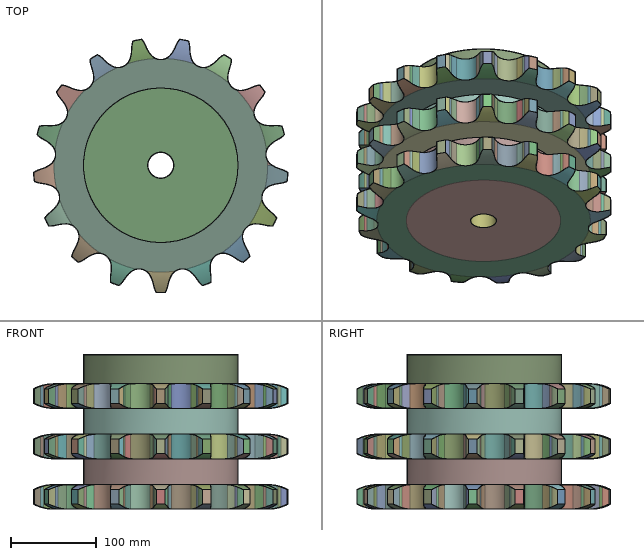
import cadquery as cq
import math


OVERALL_LENGTH = 296.5
OVERALL_HEIGHT = 180.0
HUB_DIAMETER = 180.0
BORE_DIAMETER = 30.0

TOOTH_COUNT = 17
DISC_COUNT = 3
DISC_SPACING = 58.7
DISC_THICKNESS = 28.8
FACE_RADIUS = 124.5
TIP_RELIEF = 6.0

CHAIN_PITCH = 50.7
ROLLER_DIAMETER = 29.3

TOOTH_ANGLE = 360 / TOOTH_COUNT
PITCH_RADIUS = CHAIN_PITCH / 2 / math.sin(math.pi / TOOTH_COUNT)
SEAT_RADIUS = 1.005 * ROLLER_DIAMETER / 2
SEAT_HALF_ANGLE = 55 - 60 / TOOTH_COUNT
WORKING_SWEEP = 18 - 56 / TOOTH_COUNT
WORKING_CENTER_OFFSET = 0.8 * ROLLER_DIAMETER
WORKING_RADIUS = SEAT_RADIUS + WORKING_CENTER_OFFSET
TOPPING_CENTER_OFFSET = 1.4 * ROLLER_DIAMETER
TOPPING_TILT = 17 - 64 / TOOTH_COUNT
STRAIGHT_LENGTH = (
    TOPPING_CENTER_OFFSET * math.sin(math.radians(TOPPING_TILT))
    - WORKING_CENTER_OFFSET * math.sin(math.radians(WORKING_SWEEP))
)
TOPPING_RADIUS = (
    TOPPING_CENTER_OFFSET * math.cos(math.radians(TOPPING_TILT))
    + WORKING_CENTER_OFFSET * math.cos(math.radians(WORKING_SWEEP))
    - WORKING_RADIUS
)
TOPPING_SWEEP = 32.0


def offset(point, distance, angle):
    """Point reached from another one by a distance along a direction in degrees."""
    return (
        point[0] + distance * math.cos(math.radians(angle)),
        point[1] + distance * math.sin(math.radians(angle)),
    )


def mirrored(point):
    return (point[0], -point[1])


SEAT_END_ANGLE = 180 - SEAT_HALF_ANGLE
FLANK_ANGLE = SEAT_END_ANGLE - WORKING_SWEEP

seat_center = (PITCH_RADIUS, 0)
root = offset(seat_center, SEAT_RADIUS, 180)
seat_middle = offset(seat_center, SEAT_RADIUS, 180 - SEAT_HALF_ANGLE / 2)
seat_end = offset(seat_center, SEAT_RADIUS, SEAT_END_ANGLE)

working_center = offset(seat_center, -WORKING_CENTER_OFFSET, SEAT_END_ANGLE)
working_middle = offset(working_center, WORKING_RADIUS, SEAT_END_ANGLE - WORKING_SWEEP / 2)
working_end = offset(working_center, WORKING_RADIUS, FLANK_ANGLE)

straight_end = offset(working_end, STRAIGHT_LENGTH, FLANK_ANGLE - 90)

topping_center = offset(straight_end, TOPPING_RADIUS, FLANK_ANGLE)
topping_middle = offset(topping_center, -TOPPING_RADIUS, FLANK_ANGLE + TOPPING_SWEEP / 2)
topping_end = offset(topping_center, -TOPPING_RADIUS, FLANK_ANGLE + TOPPING_SWEEP)


def find_tip_radius():
    """Tip radius that puts the tooth corners furthest along X at half the overall length.

    With one gap on +Y, the gap whose flank ends there is a quarter tooth step off the X axis.
    """
    center_angle = math.degrees(math.atan2(topping_center[1], topping_center[0])) - TOOTH_ANGLE / 4
    center_x, center_y = offset((0, 0), math.hypot(*topping_center), center_angle)
    corner_x = OVERALL_LENGTH / 2
    corner_y = center_y - math.sqrt(TOPPING_RADIUS**2 - (corner_x - center_x) ** 2)
    return math.hypot(corner_x, corner_y)


TIP_RADIUS = find_tip_radius()


def make_blank():
    """Disc with both rims relieved by arcs that leave the flat faces tangentially."""
    rim_width = TIP_RADIUS - FACE_RADIUS
    relief_radius = (rim_width**2 + TIP_RELIEF**2) / (2 * TIP_RELIEF)
    half_sweep = math.asin(rim_width / relief_radius) / 2
    middle_radius = FACE_RADIUS + relief_radius * math.sin(half_sweep)
    middle_drop = relief_radius * (1 - math.cos(half_sweep))
    return (
        cq.Workplane("XZ")
        .lineTo(FACE_RADIUS, 0)
        .threePointArc((middle_radius, middle_drop), (TIP_RADIUS, TIP_RELIEF))
        .lineTo(TIP_RADIUS, DISC_THICKNESS - TIP_RELIEF)
        .threePointArc((middle_radius, DISC_THICKNESS - middle_drop), (FACE_RADIUS, DISC_THICKNESS))
        .lineTo(0, DISC_THICKNESS)
        .close()
        .revolve(360, (0, 0), (0, 1))
    )


def make_gap():
    """Cutter for one tooth gap that opens along +X."""
    return (
        cq.Workplane("XY")
        .moveTo(*root)
        .threePointArc(seat_middle, seat_end)
        .threePointArc(working_middle, working_end)
        .lineTo(*straight_end)
        .threePointArc(topping_middle, topping_end)
        .lineTo(*mirrored(topping_end))
        .threePointArc(mirrored(topping_middle), mirrored(straight_end))
        .lineTo(*mirrored(working_end))
        .threePointArc(mirrored(working_middle), mirrored(seat_end))
        .threePointArc(mirrored(seat_middle), root)
        .close()
        .extrude(DISC_THICKNESS)
    )


def make_toothed_disc():
    """Blank with evenly spaced gaps, the first one on +Y."""
    disc = make_blank()
    gap = make_gap()
    for index in range(TOOTH_COUNT):
        disc = disc.cut(gap.rotate((0, 0, 0), (0, 0, 1), 90 + index * TOOTH_ANGLE), clean=False)
    return disc


result = cq.Workplane("XY").circle(HUB_DIAMETER / 2).extrude(OVERALL_HEIGHT)

toothed_disc = make_toothed_disc()
for level in range(DISC_COUNT):
    result = result.union(toothed_disc.translate((0, 0, level * DISC_SPACING)), clean=False)

bore = cq.Workplane("XY").circle(BORE_DIAMETER / 2).extrude(OVERALL_HEIGHT)
result = result.cut(bore, clean=False)